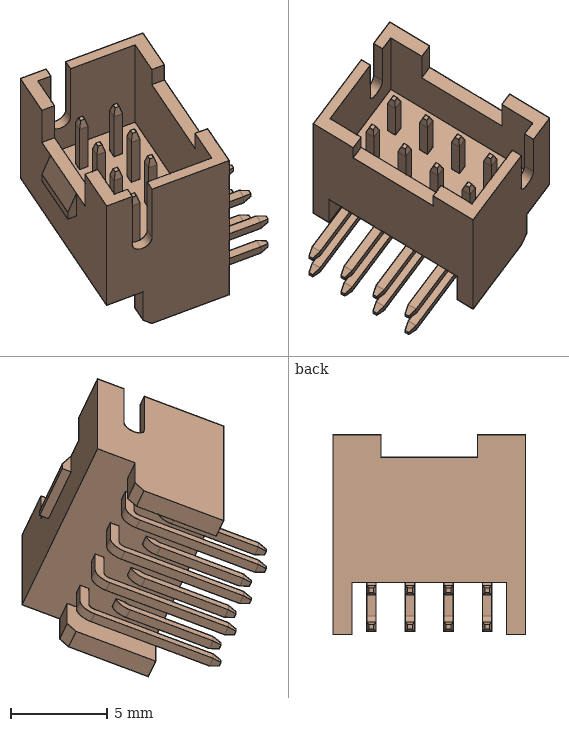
import cadquery as cq

WIDTH = 10.0
DEPTH = 7.12
HEIGHT = 10.38
UNDERSIDE_Z = 2.69
SIDE_WALL = 0.56
END_WALL = 0.74
FLOOR_Z = 4.4

FOOT_WIDTH = 1.0
FOOT_FRONT_Y = 2.12
FOOT_CHAMFER = 0.5

NOTCH_WIDTH = 5.0
FRONT_NOTCH_DEPTH = 2.48
BACK_NOTCH_DEPTH = 1.17
SLOT_WIDTH = 1.14
SLOT_CENTER_Y = 2.07
SLOT_BOTTOM_Z = 6.08

LATCH_WIDTH = 3.0
LATCH_REACH = 0.5
LATCH_BOTTOM_Z = 6.16
LATCH_LIP = 0.52

PIN_ROWS = 2
PIN_COLUMNS = 4
PIN_PITCH = 2.0
PIN_SIZE = 0.5
PIN_TIP_SIZE = 0.24
PIN_TIP_LENGTH = 0.5
PIN_TOP_Z = 8.0
PIN_BEND_RADIUS = 0.82
TAIL_REACH = 3.2
FRONT_ROW_Y = 2.56
LOWER_TAIL_Z = 0.4
TAIL_SPACING = 1.9


def box(width, y_min, y_max, z_min, z_max):
    """Block centred on X = 0, given by its Y and Z limits."""
    block = cq.Workplane("XY").box(width, y_max - y_min, z_max - z_min, centered=(True, False, False))
    return block.translate((0, y_min, z_min))


def side_profile(points, width):
    """Prism from a closed outline of (Y, Z) points, centred on X = 0."""
    return cq.Workplane("YZ").polyline(points).close().extrude(width / 2, both=True)


def make_shell():
    shell = box(WIDTH, 0, DEPTH, UNDERSIDE_Z, HEIGHT)
    cavity = box(WIDTH - 2 * SIDE_WALL, END_WALL, DEPTH - END_WALL, FLOOR_Z, HEIGHT)
    front_notch = box(NOTCH_WIDTH, 0, END_WALL, HEIGHT - FRONT_NOTCH_DEPTH, HEIGHT)
    back_notch = box(NOTCH_WIDTH, DEPTH - END_WALL, DEPTH, HEIGHT - BACK_NOTCH_DEPTH, HEIGHT)
    return shell.cut(cavity).cut(front_notch).cut(back_notch).cut(make_side_slots())


def make_side_slots():
    """Round-bottomed slot running through both side walls."""
    radius = SLOT_WIDTH / 2
    arc_center_z = SLOT_BOTTOM_Z + radius
    return (
        cq.Workplane("YZ")
        .moveTo(SLOT_CENTER_Y - radius, HEIGHT)
        .lineTo(SLOT_CENTER_Y - radius, arc_center_z)
        .threePointArc((SLOT_CENTER_Y, SLOT_BOTTOM_Z), (SLOT_CENTER_Y + radius, arc_center_z))
        .lineTo(SLOT_CENTER_Y + radius, HEIGHT)
        .close()
        .extrude(WIDTH / 2, both=True)
    )


def make_feet():
    outline = [
        (FOOT_FRONT_Y, UNDERSIDE_Z),
        (FOOT_FRONT_Y, FOOT_CHAMFER),
        (FOOT_FRONT_Y + FOOT_CHAMFER, 0),
        (DEPTH, 0),
        (DEPTH, UNDERSIDE_Z),
    ]
    gap = box(WIDTH - 2 * FOOT_WIDTH, FOOT_FRONT_Y, DEPTH, 0, UNDERSIDE_Z)
    return side_profile(outline, WIDTH).cut(gap)


def make_latch():
    outline = [
        (0, LATCH_BOTTOM_Z),
        (-LATCH_REACH, LATCH_BOTTOM_Z),
        (-LATCH_REACH, LATCH_BOTTOM_Z + LATCH_LIP),
        (0, HEIGHT - FRONT_NOTCH_DEPTH),
    ]
    return side_profile(outline, LATCH_WIDTH)


def make_tip():
    """Tapered pin end, pointing up from the origin."""
    return (
        cq.Workplane("XY")
        .rect(PIN_SIZE, PIN_SIZE)
        .workplane(offset=PIN_TIP_LENGTH)
        .rect(PIN_TIP_SIZE, PIN_TIP_SIZE)
        .loft()
    )


def make_pin(row_y, tail_z):
    """Square pin standing at row_y and bent to leave the back at height tail_z."""
    half = PIN_SIZE / 2
    post_end_z = PIN_TOP_Z - PIN_TIP_LENGTH
    tail_end_y = DEPTH + TAIL_REACH - PIN_TIP_LENGTH
    post = box(PIN_SIZE, row_y - half, row_y + half, tail_z - half, post_end_z)
    tail = box(PIN_SIZE, row_y - half, tail_end_y, tail_z - half, tail_z + half)
    inner_radius = PIN_BEND_RADIUS - PIN_SIZE
    inner_corner = box(
        PIN_SIZE,
        row_y + half,
        row_y + half + inner_radius,
        tail_z + half,
        tail_z + half + inner_radius,
    )
    bend_center = (row_y - half + PIN_BEND_RADIUS, tail_z - half + PIN_BEND_RADIUS)
    inner_cylinder = (
        cq.Workplane("YZ").center(*bend_center).circle(inner_radius).extrude(half, both=True)
    )
    corner_selector = cq.selectors.NearestToPointSelector((0, row_y - half, tail_z - half))
    bent = post.union(tail).edges(corner_selector).fillet(PIN_BEND_RADIUS)
    bent = bent.union(inner_corner.cut(inner_cylinder))
    top_tip = make_tip().translate((0, row_y, post_end_z))
    tail_tip = make_tip().rotate((0, 0, 0), (1, 0, 0), -90).translate((0, tail_end_y, tail_z))
    return bent.union(top_tip).union(tail_tip)


result = make_shell().union(make_feet()).union(make_latch())

for row in range(PIN_ROWS):
    pin = make_pin(FRONT_ROW_Y + row * PIN_PITCH, LOWER_TAIL_Z + row * TAIL_SPACING)
    for column in range(PIN_COLUMNS):
        pin_x = (column - (PIN_COLUMNS - 1) / 2) * PIN_PITCH
        result = result.union(pin.translate((pin_x, 0, 0)))